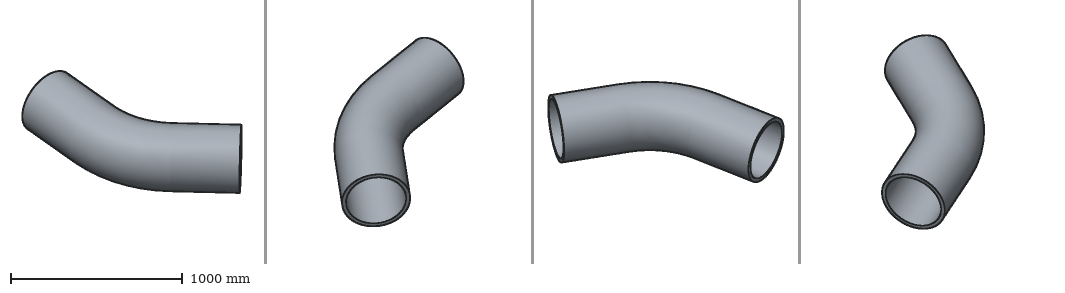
import cadquery as cq
import math

outer_diameter = 400.0
inner_diameter = 352.0
leg_length = 405.0
bend_radius = 640.0
bend_angle = 45

angle = math.radians(bend_angle)
bend_end_x = leg_length + bend_radius * math.sin(angle)
bend_end_y = bend_radius * (1 - math.cos(angle))
bend_middle_x = leg_length + bend_radius * math.sin(angle / 2)
bend_middle_y = bend_radius * (1 - math.cos(angle / 2))
outlet_x = bend_end_x + leg_length * math.cos(angle)
outlet_y = bend_end_y + leg_length * math.sin(angle)

centreline = (
    cq.Workplane("XY")
    .lineTo(leg_length, 0)
    .threePointArc((bend_middle_x, bend_middle_y), (bend_end_x, bend_end_y))
    .lineTo(outlet_x, outlet_y)
)

result = (
    cq.Workplane("YZ")
    .circle(outer_diameter / 2)
    .circle(inner_diameter / 2)
    .sweep(centreline)
)